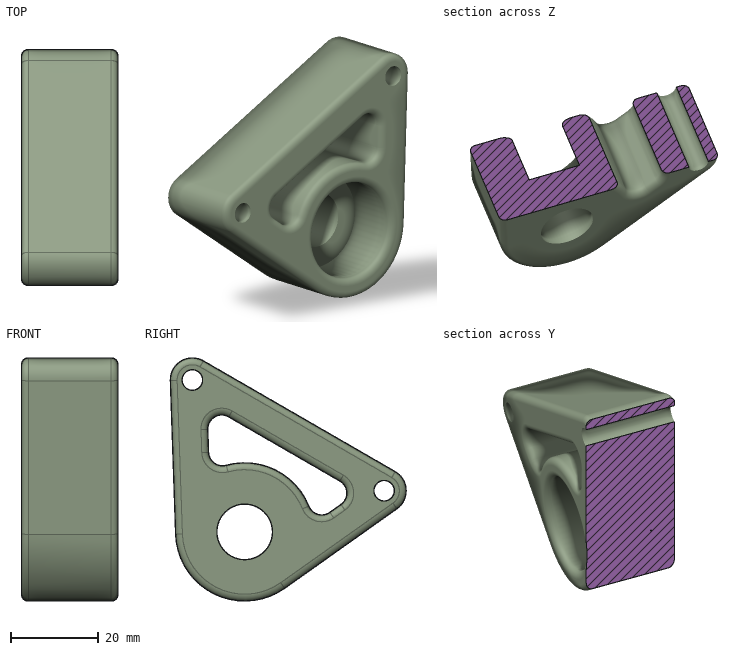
import cadquery as cq
import math

thickness = 22.2
edge_round = 1.5875
hub_radius = 15.875
lug_radius = 5.08
lug_spacing = 50.8
lug_line_angle = 30.0
upper_lug_offset = 12.0
upper_lug_height = 34.845
lug_hole_diameter = 4.65
bore_diameter = 22.5
shaft_hole_diameter = 12.7
bore_depth = 13.2
frame_width = 8.255
window_corner_radius = 3.175

hub = (0.0, 0.0)
upper_lug = (-upper_lug_offset, upper_lug_height)
lower_lug = (
    upper_lug[0] + lug_spacing * math.cos(math.radians(lug_line_angle)),
    upper_lug[1] - lug_spacing * math.sin(math.radians(lug_line_angle)),
)


def tangent_normal(start, start_radius, end, end_radius):
    """Unit normal of the tangent line on the right of the path between two circles."""
    dy = end[0] - start[0]
    dz = end[1] - start[1]
    heading = math.atan2(dz, dy)
    turn = math.acos((start_radius - end_radius) / math.hypot(dy, dz))
    return math.cos(heading - turn), math.sin(heading - turn)


def shifted(point, direction, distance):
    return point[0] + distance * direction[0], point[1] + distance * direction[1]


def line_crossing(point_a, normal_a, point_b, normal_b):
    """Crossing of two lines, each given by a point on it and its normal."""
    reach_a = point_a[0] * normal_a[0] + point_a[1] * normal_a[1]
    reach_b = point_b[0] * normal_b[0] + point_b[1] * normal_b[1]
    det = normal_a[0] * normal_b[1] - normal_a[1] * normal_b[0]
    y = (reach_a * normal_b[1] - reach_b * normal_a[1]) / det
    z = (normal_a[0] * reach_b - normal_b[0] * reach_a) / det
    return y, z


def outward(normal_a, normal_b):
    """Unit direction halfway between two normals."""
    y = normal_a[0] + normal_b[0]
    z = normal_a[1] + normal_b[1]
    length = math.hypot(y, z)
    return y / length, z / length


lower_side = tangent_normal(hub, hub_radius, lower_lug, lug_radius)
upper_side = tangent_normal(lower_lug, lug_radius, upper_lug, lug_radius)
front_side = tangent_normal(upper_lug, lug_radius, hub, hub_radius)


def make_body():
    outline = (
        cq.Workplane("YZ")
        .moveTo(*shifted(hub, lower_side, hub_radius))
        .lineTo(*shifted(lower_lug, lower_side, lug_radius))
        .threePointArc(
            shifted(lower_lug, outward(lower_side, upper_side), lug_radius),
            shifted(lower_lug, upper_side, lug_radius),
        )
        .lineTo(*shifted(upper_lug, upper_side, lug_radius))
        .threePointArc(
            shifted(upper_lug, outward(upper_side, front_side), lug_radius),
            shifted(upper_lug, front_side, lug_radius),
        )
        .lineTo(*shifted(hub, front_side, hub_radius))
        .threePointArc(
            shifted(hub, outward(front_side, lower_side), hub_radius),
            shifted(hub, lower_side, hub_radius),
        )
        .close()
    )
    return outline.extrude(thickness)


def make_window():
    """Through opening that follows the straight sides and the ring around the bore."""
    lower_foot = shifted(hub, lower_side, hub_radius - frame_width)
    front_foot = shifted(hub, front_side, hub_radius - frame_width)
    upper_point = shifted(upper_lug, upper_side, lug_radius - frame_width)
    corners = [
        lower_foot,
        line_crossing(lower_foot, lower_side, upper_point, upper_side),
        line_crossing(upper_point, upper_side, front_foot, front_side),
        front_foot,
    ]
    ring = cq.Workplane("YZ").circle(hub_radius).extrude(thickness)
    window = cq.Workplane("YZ").polyline(corners).close().extrude(thickness).cut(ring)
    return window.edges("|X").fillet(window_corner_radius)


def make_bore():
    return cq.Workplane("YZ").circle(bore_diameter / 2).extrude(bore_depth)


def make_through_hole(center, diameter):
    return cq.Workplane("YZ").center(*center).circle(diameter / 2).extrude(thickness)


body = make_body().cut(make_window()).cut(make_bore())
body = body.faces("<X or >X").edges().fillet(edge_round)

body = body.cut(make_through_hole(hub, shaft_hole_diameter))
for lug in (upper_lug, lower_lug):
    body = body.cut(make_through_hole(lug, lug_hole_diameter))

result = body